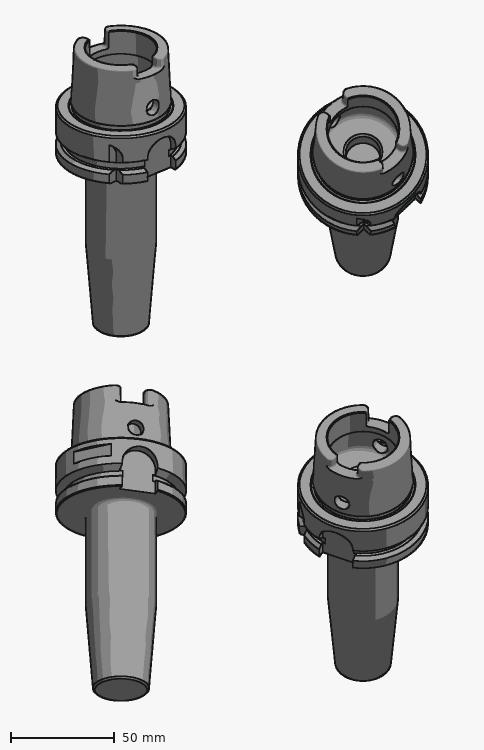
import cadquery as cq
import math


TOTAL_HEIGHT = 152
FLANGE_TOP = 120.1
FLANGE_BOTTOM = 94.0
NOSE_CONE_TOP = 44.4

NOSE_RADIUS = 17.0
NOSE_END_RADIUS = 13.5
NOSE_END_CHAMFER = 0.9
NOSE_FILLET = 2.6

FLANGE_RADIUS = 31.5
FLANGE_CHAMFER = 0.9
FLANGE_BOTTOM_CHAMFER = 0.5
GROOVE_FLOOR_RADIUS = 27.5
GROOVE_FLOOR_BOTTOM = 100.5
GROOVE_FLOOR_TOP = 103.7
GROOVE_FLANK_ANGLE = 30
GROOVE_LEDGE_RADIUS = 29.2

TAPER_BASE_RADIUS = 24.3
TAPER_TOP_RADIUS = 22.8
RIM_FILLET = 0.9
RELIEF_DEPTH = 0.5
RELIEF_HEIGHT = 2.1
RELIEF_OUTER_RADIUS = 25.4

MOUTH_RADIUS = 17.2
MOUTH_CHAMFER = 0.5
LIP_BOTTOM = 139.1
CHAMBER_RADIUS = 19.6
CHAMBER_FLOOR = 123.5
CHAMBER_FILLET = 3.6
TUBE_BORE_RADIUS = 8.4
TUBE_BORE_CHAMFER = 1.0
TUBE_BORE_DEPTH = 9.1

CROSS_HOLE_RADIUS = 4.0
CROSS_HOLE_HEIGHT = 128.9

DRIVE_SLOT_HALF_WIDTH = 6.1
DRIVE_SLOT_ROUND = 2.7
DRIVE_SLOT_INNER_END = 7.6
DRIVE_SLOT_FLOOR_FILLET = 1.4
DEEP_SLOT_FLOOR = 142.5
SHALLOW_SLOT_FLOOR = 146.2

KEYWAY_HALF_WIDTH = 9.0
KEYWAY_TOP = 115.5
KEYWAY_FLOOR = 26.5

NOTCH_CORNER = 19.8
NOTCH_STRAIGHT_TOP = 107.9
NOTCH_RUNOUT_RADIUS = 8.0
FLAT_DISTANCE = 29.8
FLAT_BOTTOM = 110.2
FLAT_TOP = 116.5

ARC_INSET = 1 - math.sqrt(0.5)

FLAT_ANGLE = 135

CLEAR = FLANGE_RADIUS + 15.2


def half_turn(shape):
    """Copy of a +X feature on the -X side."""
    return shape.rotate((0, 0, 0), (0, 0, 1), 180)


def make_body():
    """Revolved outside shape, from the nose tip up to the open end of the taper."""
    flank_slope = math.tan(math.radians(GROOVE_FLANK_ANGLE))
    groove_bottom_edge = GROOVE_FLOOR_BOTTOM - (FLANGE_RADIUS - GROOVE_LEDGE_RADIUS) * flank_slope
    groove_top_edge = GROOVE_FLOOR_TOP + (FLANGE_RADIUS - GROOVE_FLOOR_RADIUS) * flank_slope
    nose_slope = (NOSE_RADIUS - NOSE_END_RADIUS) / NOSE_CONE_TOP
    fillet_mid = NOSE_FILLET * ARC_INSET
    taper_slope = (TAPER_BASE_RADIUS - TAPER_TOP_RADIUS) / (TOTAL_HEIGHT - FLANGE_TOP)
    relief_top_radius = TAPER_BASE_RADIUS - RELIEF_HEIGHT * taper_slope
    relief_radius = relief_top_radius - RELIEF_DEPTH
    profile = (
        cq.Workplane("XZ")
        .lineTo(NOSE_END_RADIUS - NOSE_END_CHAMFER, 0)
        .lineTo(NOSE_END_RADIUS + nose_slope * NOSE_END_CHAMFER, NOSE_END_CHAMFER)
        .lineTo(NOSE_RADIUS, NOSE_CONE_TOP)
        .lineTo(NOSE_RADIUS, FLANGE_BOTTOM - NOSE_FILLET)
        .threePointArc(
            (NOSE_RADIUS + fillet_mid, FLANGE_BOTTOM - fillet_mid),
            (NOSE_RADIUS + NOSE_FILLET, FLANGE_BOTTOM),
        )
        .lineTo(FLANGE_RADIUS - FLANGE_BOTTOM_CHAMFER, FLANGE_BOTTOM)
        .lineTo(FLANGE_RADIUS, FLANGE_BOTTOM + FLANGE_BOTTOM_CHAMFER)
        .lineTo(FLANGE_RADIUS, groove_bottom_edge)
        .lineTo(GROOVE_LEDGE_RADIUS, GROOVE_FLOOR_BOTTOM)
        .lineTo(GROOVE_FLOOR_RADIUS, GROOVE_FLOOR_BOTTOM)
        .lineTo(GROOVE_FLOOR_RADIUS, GROOVE_FLOOR_TOP)
        .lineTo(FLANGE_RADIUS, groove_top_edge)
        .lineTo(FLANGE_RADIUS, FLANGE_TOP - FLANGE_CHAMFER)
        .lineTo(FLANGE_RADIUS - FLANGE_CHAMFER, FLANGE_TOP)
        .lineTo(RELIEF_OUTER_RADIUS, FLANGE_TOP)
        .lineTo(RELIEF_OUTER_RADIUS - RELIEF_DEPTH, FLANGE_TOP - RELIEF_DEPTH)
        .lineTo(relief_radius, FLANGE_TOP - RELIEF_DEPTH)
        .lineTo(relief_radius, FLANGE_TOP + RELIEF_HEIGHT - RELIEF_DEPTH)
        .lineTo(relief_top_radius, FLANGE_TOP + RELIEF_HEIGHT)
        .lineTo(TAPER_TOP_RADIUS, TOTAL_HEIGHT)
        .lineTo(0, TOTAL_HEIGHT)
        .close()
    )
    return profile.revolve(360, (0, 0, 0), (0, 1, 0))


def make_bore():
    """Mouth, wider clamping chamber with a rounded floor, and the coolant-tube bore."""
    fillet_mid = CHAMBER_FILLET * ARC_INSET
    profile = (
        cq.Workplane("XZ")
        .moveTo(0, TOTAL_HEIGHT)
        .lineTo(MOUTH_RADIUS + MOUTH_CHAMFER, TOTAL_HEIGHT)
        .lineTo(MOUTH_RADIUS, TOTAL_HEIGHT - MOUTH_CHAMFER)
        .lineTo(MOUTH_RADIUS, LIP_BOTTOM)
        .lineTo(CHAMBER_RADIUS, LIP_BOTTOM)
        .lineTo(CHAMBER_RADIUS, CHAMBER_FLOOR + CHAMBER_FILLET)
        .threePointArc(
            (CHAMBER_RADIUS - fillet_mid, CHAMBER_FLOOR + fillet_mid),
            (CHAMBER_RADIUS - CHAMBER_FILLET, CHAMBER_FLOOR),
        )
        .lineTo(TUBE_BORE_RADIUS + TUBE_BORE_CHAMFER, CHAMBER_FLOOR)
        .lineTo(TUBE_BORE_RADIUS, CHAMBER_FLOOR - TUBE_BORE_CHAMFER)
        .lineTo(TUBE_BORE_RADIUS, CHAMBER_FLOOR - TUBE_BORE_DEPTH)
        .lineTo(0, CHAMBER_FLOOR - TUBE_BORE_DEPTH)
        .close()
    )
    return profile.revolve(360, (0, 0, 0), (0, 1, 0))


def cut_drive_slot(taper, floor, side):
    """Cut one slot on the +X (side 1) or -X (side -1) end and round its walls into the taper."""
    wall_height = TOTAL_HEIGHT - floor
    slot = cq.Workplane("XY").box(
        CLEAR, 2 * DRIVE_SLOT_HALF_WIDTH, wall_height, centered=(False, True, False)
    )
    slot = slot.translate((DRIVE_SLOT_INNER_END, 0, floor))
    if side < 0:
        slot = half_turn(slot)
    slotted = taper.cut(slot)
    for wall in (-1, 1):
        wall_y = wall * DRIVE_SLOT_HALF_WIDTH
        outer_edge = (side * TAPER_TOP_RADIUS, wall_y, floor + wall_height / 2)
        slotted = slotted.edges(cq.selectors.NearestToPointSelector(outer_edge)).fillet(DRIVE_SLOT_ROUND)
    return slotted


def fillet_drive_slot_floor(taper, floor, side):
    """Fillet both walls of a drive slot into its floor."""
    wall_middle = (DRIVE_SLOT_INNER_END + MOUTH_RADIUS) / 2
    for wall in (-1, 1):
        floor_edge = (side * wall_middle, wall * DRIVE_SLOT_HALF_WIDTH, floor)
        taper = taper.edges(cq.selectors.NearestToPointSelector(floor_edge)).fillet(DRIVE_SLOT_FLOOR_FILLET)
    return taper


def make_keyway():
    """Arched keyway on the +X side, open at the bottom of the flange."""
    arch_centre = KEYWAY_TOP - KEYWAY_HALF_WIDTH
    return (
        cq.Workplane("YZ", origin=(KEYWAY_FLOOR, 0, 0))
        .moveTo(-KEYWAY_HALF_WIDTH, FLANGE_BOTTOM)
        .lineTo(KEYWAY_HALF_WIDTH, FLANGE_BOTTOM)
        .lineTo(KEYWAY_HALF_WIDTH, arch_centre)
        .threePointArc((0, KEYWAY_TOP), (-KEYWAY_HALF_WIDTH, arch_centre))
        .close()
        .extrude(CLEAR)
    )


def make_orientation_notch():
    """Square notch in the +X -Y quadrant whose upper end runs out along an arc."""
    arc_y = -NOTCH_CORNER - NOTCH_RUNOUT_RADIUS
    arc_mid = NOTCH_RUNOUT_RADIUS * math.sqrt(0.5)
    return (
        cq.Workplane("YZ", origin=(NOTCH_CORNER, 0, 0))
        .moveTo(-NOTCH_CORNER, FLANGE_BOTTOM)
        .lineTo(-NOTCH_CORNER, NOTCH_STRAIGHT_TOP)
        .threePointArc(
            (arc_y + arc_mid, NOTCH_STRAIGHT_TOP + arc_mid),
            (arc_y, NOTCH_STRAIGHT_TOP + NOTCH_RUNOUT_RADIUS),
        )
        .lineTo(-CLEAR, NOTCH_STRAIGHT_TOP + NOTCH_RUNOUT_RADIUS)
        .lineTo(-CLEAR, FLANGE_BOTTOM)
        .close()
        .extrude(CLEAR)
    )


def make_rim_flat():
    """Block that leaves a short flat on the rim, midway between -X and +Y."""
    block = cq.Workplane("XY").box(
        CLEAR, 2 * FLANGE_RADIUS, FLAT_TOP - FLAT_BOTTOM, centered=(False, True, False)
    )
    return block.translate((FLAT_DISTANCE, 0, FLAT_BOTTOM)).rotate((0, 0, 0), (0, 0, 1), FLAT_ANGLE)


body = make_body()
drive_slots = ((SHALLOW_SLOT_FLOOR, 1), (DEEP_SLOT_FLOOR, -1))
for slot_floor, slot_side in drive_slots:
    body = cut_drive_slot(body, slot_floor, slot_side)
body = body.faces(">Z").edges().fillet(RIM_FILLET)
for slot_floor, slot_side in drive_slots:
    body = fillet_drive_slot_floor(body, slot_floor, slot_side)
body = body.cut(make_bore())

cross_hole = (
    cq.Workplane("YZ", origin=(-CLEAR, 0, 0))
    .center(0, CROSS_HOLE_HEIGHT)
    .circle(CROSS_HOLE_RADIUS)
    .extrude(2 * CLEAR)
)
body = body.cut(cross_hole)

keyway = make_keyway()
body = body.cut(keyway).cut(half_turn(keyway))
body = body.cut(make_orientation_notch())
result = body.cut(make_rim_flat())